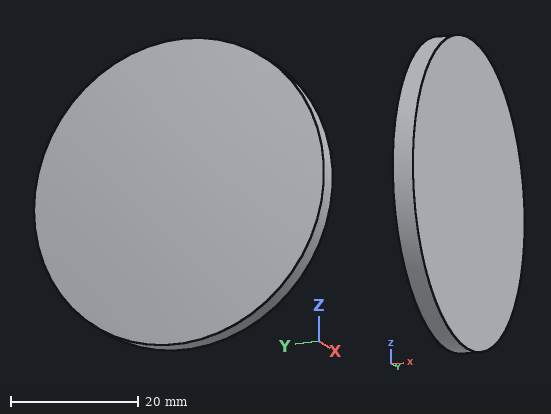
import cadquery as cq

lens_diameter = 50.0
center_thickness = 5.15
edge_thickness = 3.41

lens_radius = lens_diameter / 2
sag = center_thickness - edge_thickness
curvature_radius = (lens_radius**2 + sag**2) / (2 * sag)


def make_lens():
    """Cylindrical rim cut to shape by the sphere that forms the convex face."""
    rim = cq.Workplane("YZ").circle(lens_radius).extrude(center_thickness)
    sphere = cq.Workplane("XY").sphere(curvature_radius).translate((curvature_radius, 0, 0))
    return rim.intersect(sphere)


result = make_lens()